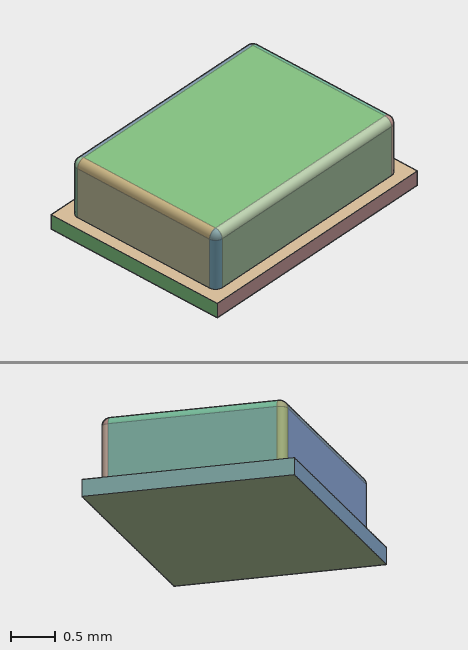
import cadquery as cq

base_width = 2.5
base_length = 3.35
base_thickness = 0.2

total_height = 0.98
ledge = 0.157
lid_edge_radius = 0.1

lid_width = base_width - 2 * ledge
lid_length = base_length - 2 * ledge
lid_height = total_height - base_thickness


def make_base():
    return cq.Workplane("XY").box(base_width, base_length, base_thickness, centered=(True, True, False))


def make_lid():
    """Block with its upright corners and top rim rounded to one radius."""
    block = (
        cq.Workplane("XY")
        .workplane(offset=base_thickness)
        .box(lid_width, lid_length, lid_height, centered=(True, True, False))
    )
    return block.edges("|Z or >Z").fillet(lid_edge_radius)


result = make_base().union(make_lid())